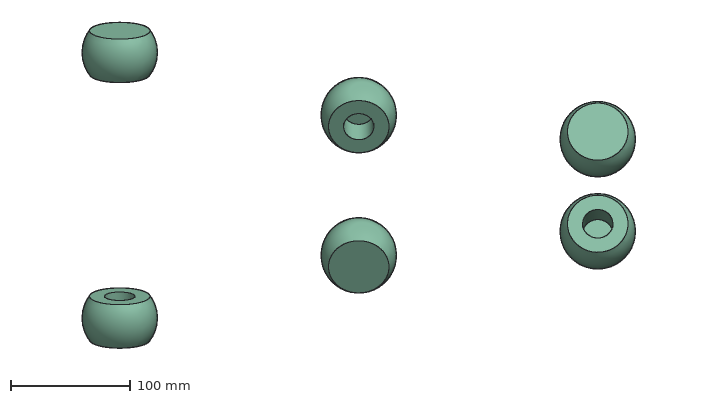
import cadquery as cq

total_height = 270.0
ball_diameter = 63.5
ball_height = 38.0
bore_diameter = 25.5
bore_depth = 25.5

ball_radius = ball_diameter / 2
half_height = ball_height / 2
ball_offset = (total_height - ball_height) / 2


def truncated_ball():
    """Sphere at the origin, cut flat at the top and bottom."""
    slab = cq.Workplane("XY").box(ball_diameter, ball_diameter, ball_height)
    return cq.Workplane("XY").sphere(ball_radius).intersect(slab)


def blind_bore():
    """Round socket sunk into the upper flat of a ball at the origin."""
    bore_floor = half_height - bore_depth
    return cq.Workplane("XY").workplane(offset=bore_floor).circle(bore_diameter / 2).extrude(bore_depth)


def lower_knob():
    """Ball with its socket facing up."""
    return truncated_ball().cut(blind_bore()).translate((0, 0, -ball_offset))


knobs = [lower_knob(), lower_knob().mirror("XY")]

result = cq.Compound.makeCompound([knob.val() for knob in knobs])